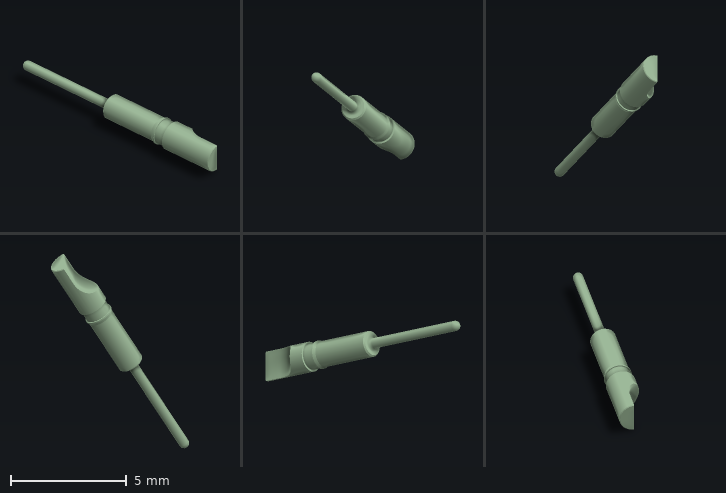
import cadquery as cq
import math

total_length = 10.79
body_start = 4.83
ring_ramp_start = 7.55
ring_land_start = 7.69
ring_end = 7.76
cup_start = 8.24
scoop_start = 8.91
scoop_end = 9.9

pin_radius = 0.23
body_radius = 0.57
ring_radius = 0.63
cup_radius = 0.66

neck_fillet = 0.13
body_chamfer = 0.06
cup_chamfer = 0.03


def make_turned_contact():
    """Domed pin, body with a barbed ring, and cup barrel turned in one piece."""
    diagonal = math.sqrt(0.5)
    dome_middle = (pin_radius * (1 - diagonal), pin_radius * diagonal)
    fillet_start = (body_start - neck_fillet, pin_radius)
    fillet_middle = (
        body_start - neck_fillet + neck_fillet * diagonal,
        pin_radius + neck_fillet * (1 - diagonal),
    )
    profile = (
        cq.Workplane("XY")
        .moveTo(0, 0)
        .threePointArc(dome_middle, (pin_radius, pin_radius))
        .lineTo(*fillet_start)
        .threePointArc(fillet_middle, (body_start, pin_radius + neck_fillet))
        .lineTo(body_start, body_radius - body_chamfer)
        .lineTo(body_start + body_chamfer, body_radius)
        .lineTo(ring_ramp_start, body_radius)
        .lineTo(ring_land_start, ring_radius)
        .lineTo(ring_end, ring_radius)
        .lineTo(ring_end, body_radius)
        .lineTo(cup_start, body_radius)
        .lineTo(cup_start, cup_radius)
        .lineTo(total_length - cup_chamfer, cup_radius)
        .lineTo(total_length, cup_radius - cup_chamfer)
        .lineTo(total_length, 0)
        .close()
    )
    return profile.revolve(360, (0, 0, 0), (1, 0, 0))


def make_scoop():
    """Cutter that removes the +Y half of the barrel end, with a curved run-out."""
    run = scoop_end - scoop_start
    arc_radius = (run**2 + cup_radius**2) / (2 * cup_radius)
    half_sweep = math.atan2(cup_radius, run)
    arc_middle = (
        scoop_end - arc_radius * math.sin(half_sweep),
        arc_radius * (1 - math.cos(half_sweep)),
    )
    return (
        cq.Workplane("XY")
        .moveTo(total_length, 0)
        .lineTo(scoop_end, 0)
        .threePointArc(arc_middle, (scoop_start, cup_radius))
        .lineTo(total_length, cup_radius)
        .close()
        .extrude(cup_radius, both=True)
    )


result = make_turned_contact().cut(make_scoop())